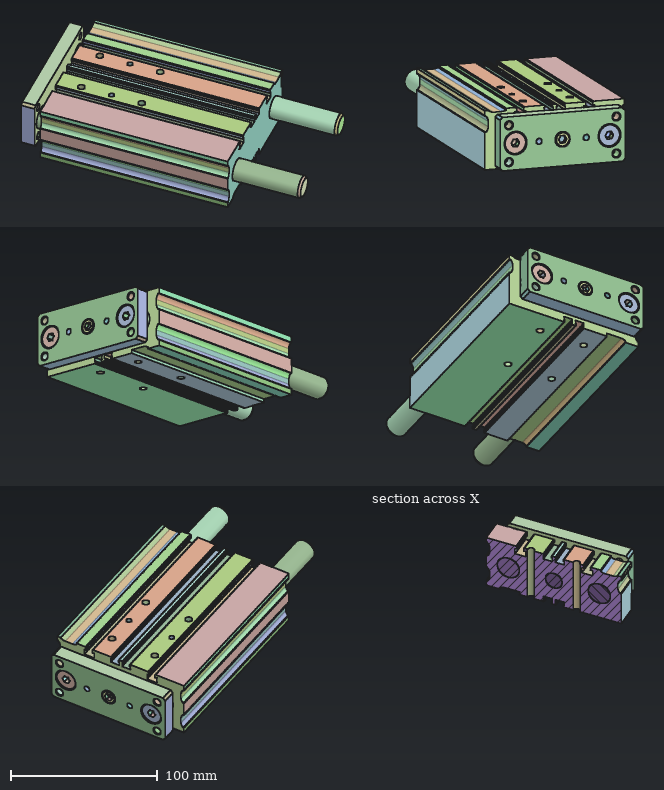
import cadquery as cq
import math


total_length = 203.0
housing_start = 16.0
housing_length = 137.5
housing_width = 101.0
housing_height = 42.0

plate_thickness = 10.0
plate_width = 90.7
plate_height = 37.5
plate_corner_chamfer = 1.8

guide_spacing = 68.0
guide_diameter = 16.0
guide_recess = 0.6
guide_front_chamfer = 0.6
guide_tip_chamfer_length = 1.8
guide_tip_chamfer_height = 1.2
guide_socket_flats = 5.0
guide_socket_depth = 5.0
guide_point_length = 1.5

piston_diameter = 12.0
piston_end_wall = 10.2
screw_head_diameter = 10.5
screw_head_height = 6.0
screw_head_chamfer = 0.6
screw_shank_diameter = 6.0
screw_shank_reach = 10.2
screw_socket_flats = 5.0
screw_socket_depth = 3.0

mount_hole_diameter = 5.0
mount_hole_chamfer = 0.5
mount_spacing_y = 77.7
mount_spacing_z = 25.8
dowel_spacing = 34.1
dowel_hole_diameter = 4.0

top_hole_start = 32.9
top_hole_pitch = 22.1
through_hole_diameter = 4.9
locating_hole_diameter = 3.7
locating_hole_depth = 6.0

slot_lip_chamfer = 0.6
outer_slot_center = 25.0
outer_slot_neck = 4.9
outer_slot_undercut = 1.5
outer_slot_lip = 2.8
outer_slot_depth = 7.0
inner_slot_center = 4.5
inner_slot_neck = 5.3
inner_slot_undercut = 0.6
inner_slot_lip = 1.8
inner_slot_depth = 4.5

groove_depth = 2.5
groove_lip = 0.6
side_groove_height = 11.0
side_groove_mouth = 11.4
side_groove_floor = 3.7
top_groove_inner_edge = 35.1
top_groove_floor_inner = 38.5
top_groove_floor_outer = 44.3
top_groove_outer_edge = 47.7
top_groove_depth = 2.0
top_groove_inner_lip = 1.2
bottom_groove_inner_edge = 25.8
bottom_groove_floor_outer = 37.0
bottom_groove_outer_edge = 40.4
ledge_drop = 0.6

half_width = housing_width / 2
half_height = housing_height / 2
housing_end = housing_start + housing_length
piston_end = housing_end - piston_end_wall
guide_places = [-guide_spacing / 2, guide_spacing / 2]
dowel_places = [-dowel_spacing / 2, dowel_spacing / 2]

top_face = cq.Plane((housing_start, 0, half_height), (0, 1, 0), (1, 0, 0))
bottom_face = cq.Plane((housing_start, 0, -half_height), (0, -1, 0), (1, 0, 0))
right_face = cq.Plane((housing_start, -half_width, 0), (0, 0, 1), (1, 0, 0))
left_face = cq.Plane((housing_start, half_width, 0), (0, 0, -1), (1, 0, 0))


def rod(diameter, start, end, y=0.0):
    """Cylinder along X with its seam on top."""
    plane = cq.Plane((start, y, 0), (0, 0, 1), (1, 0, 0))
    return cq.Workplane(plane).circle(diameter / 2).extrude(end - start)


def hex_socket(flats, start, depth, y=0.0):
    """Cutter for a hexagonal recess along X, with two flats level."""
    corners = flats / math.cos(math.pi / 6)
    return cq.Workplane("YZ", origin=(start, y, 0)).polygon(6, corners).extrude(depth)


def t_slot(face, center, neck, undercut, lip, depth):
    """Cutter for an undercut slot whose lips are chamfered at the mouth."""
    half_neck = neck / 2
    half_head = half_neck + undercut
    half_mouth = half_neck + slot_lip_chamfer
    right_side = [
        (half_head, -depth),
        (half_head, -lip),
        (half_neck, -lip),
        (half_neck, -slot_lip_chamfer),
        (half_mouth, 0),
    ]
    left_side = [(-across, out) for across, out in reversed(right_side)]
    outline = cq.Workplane(face).center(center, 0).polyline(right_side + left_side).close()
    return outline.extrude(housing_length)


def arc_middle(floor, mouth, depth, rise):
    """Middle of the arc that leaves the groove floor tangentially and climbs by rise."""
    run = mouth - floor
    half_angle = math.atan2(rise, abs(run))
    radius = math.hypot(run, rise) / (2 * math.sin(half_angle))
    across = math.copysign(radius * math.sin(half_angle), run)
    return floor + across, radius * (1 - math.cos(half_angle)) - depth


def round_groove(face, depth, mouth_low, floor_low, floor_high, mouth_high, lip_low, lip_high):
    """Cutter for a groove whose walls drop straight by a lip, then curve to a flat floor.

    The low wall is straight all the way where its mouth and floor edges are in line.
    """
    outline = cq.Workplane(face).moveTo(floor_low, -depth).lineTo(floor_high, -depth)
    middle = arc_middle(floor_high, mouth_high, depth, depth - lip_high)
    outline = outline.threePointArc(middle, (mouth_high, -lip_high))
    outline = outline.lineTo(mouth_high, 0).lineTo(mouth_low, 0)
    if mouth_low != floor_low:
        middle = arc_middle(floor_low, mouth_low, depth, depth - lip_low)
        outline = outline.lineTo(mouth_low, -lip_low).threePointArc(middle, (floor_low, -depth))
    return outline.close().extrude(housing_length)


def side_groove(face, center):
    half_mouth = side_groove_mouth / 2
    half_floor = side_groove_floor / 2
    return round_groove(
        face,
        groove_depth,
        center - half_mouth,
        center - half_floor,
        center + half_floor,
        center + half_mouth,
        groove_lip,
        groove_lip,
    )


def housing_cutters():
    cutters = []
    for side in (-1, 1):
        cutters.append(
            t_slot(
                top_face,
                side * outer_slot_center,
                outer_slot_neck,
                outer_slot_undercut,
                outer_slot_lip,
                outer_slot_depth,
            )
        )
        for face in (top_face, bottom_face):
            cutters.append(
                t_slot(
                    face,
                    side * inner_slot_center,
                    inner_slot_neck,
                    inner_slot_undercut,
                    inner_slot_lip,
                    inner_slot_depth,
                )
            )
    cutters.append(side_groove(right_face, side_groove_height))
    cutters.append(side_groove(right_face, -side_groove_height))
    cutters.append(side_groove(left_face, -side_groove_height))
    cutters.append(
        round_groove(
            top_face,
            top_groove_depth,
            top_groove_inner_edge,
            top_groove_floor_inner,
            top_groove_floor_outer,
            top_groove_outer_edge,
            top_groove_inner_lip,
            ledge_drop,
        )
    )
    cutters.append(
        round_groove(
            bottom_face,
            groove_depth,
            bottom_groove_inner_edge,
            bottom_groove_inner_edge,
            bottom_groove_floor_outer,
            bottom_groove_outer_edge,
            groove_lip,
            groove_lip,
        )
    )
    return cutters


def make_housing():
    housing = cq.Workplane("XY").box(housing_length, housing_width, housing_height)
    housing = housing.translate((housing_start + housing_length / 2, 0, 0))
    for cutter in housing_cutters():
        housing = housing.cut(cutter)
    ledge = cq.Workplane(top_face).rect(housing_width, 2 * ledge_drop).extrude(housing_length)
    housing = housing.cut(ledge.translate((0, half_width + top_groove_outer_edge, 0)))
    for y in guide_places:
        housing = housing.cut(rod(guide_diameter, housing_start, housing_end, y))
    housing = housing.cut(rod(piston_diameter, housing_start, piston_end))
    for y in dowel_places:
        for index in range(3):
            center = (top_hole_start + index * top_hole_pitch, y, half_height)
            start = cq.Workplane("XY", origin=center)
            if index == 1:
                hole = start.circle(locating_hole_diameter / 2).extrude(-locating_hole_depth)
            else:
                hole = start.circle(through_hole_diameter / 2).extrude(-housing_height)
            housing = housing.cut(hole)
    return housing


def make_plate():
    plate = cq.Workplane("YZ").rect(plate_width, plate_height).extrude(plate_thickness)
    plate = plate.edges("|X").chamfer(plate_corner_chamfer)
    for y in guide_places:
        plate = plate.cut(rod(guide_diameter, 0, plate_thickness, y))
    plate = plate.cut(rod(screw_head_diameter, 0, screw_head_height))
    plate = plate.cut(rod(screw_shank_diameter, screw_head_height, plate_thickness))
    for y in dowel_places:
        plate = plate.cut(rod(dowel_hole_diameter, 0, plate_thickness, y))
    plate = (
        plate.faces("<X")
        .workplane(origin=(0, 0, 0))
        .rarray(mount_spacing_y, mount_spacing_z, 2, 2)
        .cskHole(mount_hole_diameter, mount_hole_diameter + 2 * mount_hole_chamfer, 90)
    )
    return plate


def make_guide_rod(y):
    guide = rod(guide_diameter, guide_recess, total_length, y)
    guide = guide.faces("<X").chamfer(guide_front_chamfer)
    guide = guide.faces(">X").edges().chamfer(guide_tip_chamfer_length, guide_tip_chamfer_height)
    guide = guide.cut(hex_socket(guide_socket_flats, guide_recess, guide_socket_depth, y))
    point = cq.Solid.makeCone(
        guide_socket_flats / 2,
        0,
        guide_point_length,
        cq.Vector(guide_recess + guide_socket_depth, y, 0),
        cq.Vector(1, 0, 0),
    )
    return guide.cut(cq.Workplane(point))


def make_piston_rod():
    piston = rod(piston_diameter, plate_thickness, piston_end)
    return piston.cut(rod(screw_shank_diameter, plate_thickness, plate_thickness + screw_shank_reach))


def make_screw():
    head = rod(screw_head_diameter, 0, screw_head_height)
    head = head.faces("<X").chamfer(screw_head_chamfer)
    shank = rod(screw_shank_diameter, screw_head_height, plate_thickness + screw_shank_reach)
    return head.union(shank).cut(hex_socket(screw_socket_flats, 0, screw_socket_depth))


housing = make_housing()
plate = make_plate()
guide_rods = [make_guide_rod(y) for y in guide_places]
piston_rod = make_piston_rod()
screw = make_screw()

result = cq.Compound.makeCompound(
    [housing.val(), plate.val(), piston_rod.val(), screw.val()] + [guide.val() for guide in guide_rods]
)